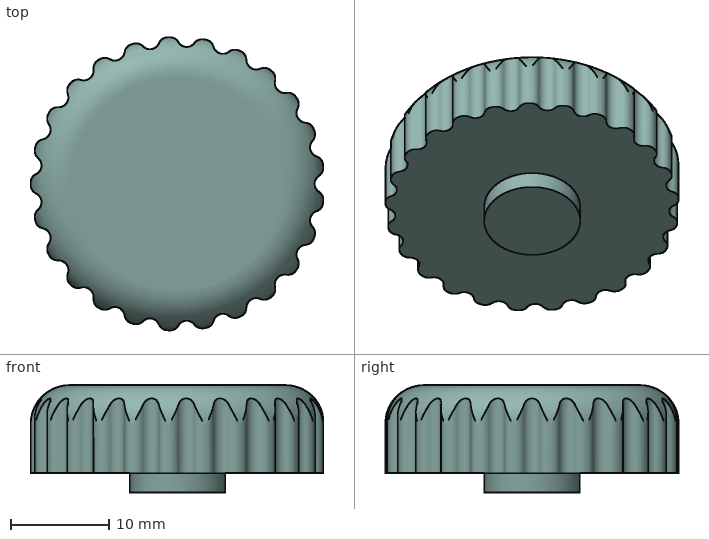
import cadquery as cq
import math

outer_diameter = 29.98
cap_height = 8.98
crown_radius = 4.0
boss_diameter = 9.8
boss_height = 2.0
groove_count = 25
groove_radius = 1.0
ridge_radius = 1.0

outer_radius = outer_diameter / 2
groove_pitch = 2 * math.pi / groove_count
groove_floor = outer_radius - groove_radius
ridge_center = outer_radius - ridge_radius
center_gap = groove_radius + ridge_radius

ridge_angle = math.acos(
    (outer_radius**2 + ridge_center**2 - center_gap**2) / (2 * outer_radius * ridge_center)
)


def polar(radius, angle):
    return (radius * math.cos(angle), radius * math.sin(angle))


def between(start, end, fraction):
    return tuple(s + (e - s) * fraction for s, e in zip(start, end))


def toward(center, target, distance):
    """Point at the given distance from center, in the direction of target."""
    return between(center, target, distance / math.dist(center, target))


def grip_outline():
    """Closed wavy outline: grooves and rounded ridges joined tangentially."""
    outline = cq.Workplane("XY").moveTo(*polar(outer_radius, -groove_pitch + ridge_angle))
    for index in range(groove_count):
        angle = index * groove_pitch
        groove_axis = polar(outer_radius, angle)
        ends = {}
        middles = {}
        tips = {}
        for side in (-1, 1):
            tip_angle = angle + side * ridge_angle
            rounding_axis = polar(ridge_center, tip_angle)
            tips[side] = polar(outer_radius, tip_angle)
            ends[side] = toward(groove_axis, rounding_axis, groove_radius)
            chord_middle = between(tips[side], ends[side], 1 / 2)
            middles[side] = toward(rounding_axis, chord_middle, ridge_radius)
        ridge_crest = polar(outer_radius, angle - groove_pitch / 2)
        outline = (
            outline.threePointArc(ridge_crest, tips[-1])
            .threePointArc(middles[-1], ends[-1])
            .threePointArc(polar(groove_floor, angle), ends[1])
            .threePointArc(middles[1], tips[1])
        )
    return outline.close()


crown = cq.Workplane("XY").circle(outer_radius).extrude(cap_height)
crown = crown.faces(">Z").edges().fillet(crown_radius)
cap = grip_outline().extrude(cap_height).intersect(crown)

boss = cq.Workplane("XY").circle(boss_diameter / 2).extrude(-boss_height)

result = cap.union(boss)